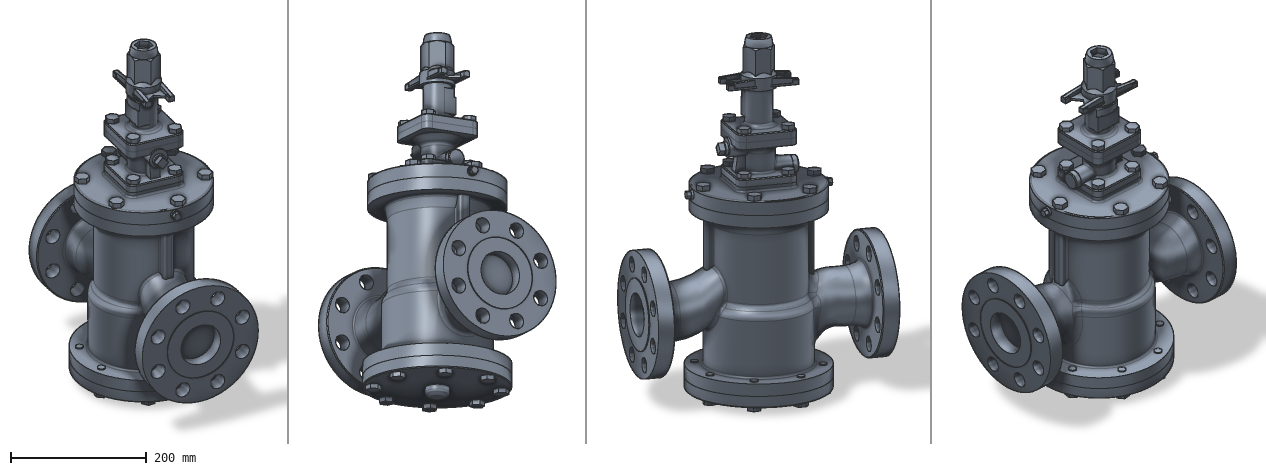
import cadquery as cq
import math


FACE_TO_FACE = 378.0
PIPE_FLANGE_D = 191.0
PIPE_FLANGE_THICK = 26.0
RAISED_FACE_D = 109.0
RAISED_FACE_HEIGHT = 1.6
BORE_D = 65.0
BORE_DEPTH = 21.0
BOLT_HOLE_D = 23.0
BOLT_CIRCLE_D = 150.0
BOLT_HOLE_COUNT = 8

NECK_ROOT_D = 101.5
NECK_D = 88.0
NECK_TAPER_LENGTH = 25.0
NECK_ROOT_FILLET = 3.0
INLET_CASING_FILLET = 12.0
OUTLET_CASING_FILLET = 5.0
INLET_SECTIONS = [
    (-121.0, 41.5, -44.3, 44.3),
    (-106.0, 38.5, -45.0, 44.5),
    (-86.0, 35.0, -62.0, 40.0),
    (-62.0, 34.0, -80.0, 30.0),
]
OUTLET_SECTIONS = [
    (112.0, 43.0, -40.0, 48.3),
    (88.0, 42.0, -29.0, 58.5),
    (70.0, 39.0, -17.0, 70.0),
    (50.0, 35.0, -6.0, 77.0),
]

UPPER_CASING_R = 74.0
LOWER_CASING_R = 82.5
SHOULDER_TOP_Z = 20.0
SHOULDER_MID_Z = 10.0
SHOULDER_BOTTOM_Z = -3.5
FLARE_BOTTOM_Z = 127.0
FLARE_TOP_Z = 143.0
FLARE_R = 77.0
CASING_FILLET = 3.0
RIB_REACH = 84.5
RIB_WIDTH = 18.0
RIB_ROUND = 5.0
RIB_ROOT_FILLET = 4.0

TOP_FLANGE_D = 206.0
TOP_FLANGE_BOTTOM_Z = 146.0
TOP_JOINT_Z = 165.0
TOP_COVER_Z = 186.6
EDGE_CHAMFER = 1.5

BOTTOM_FLANGE_D = 220.0
BOTTOM_FLANGE_TOP_Z = -91.5
BOTTOM_JOINT_Z = -110.5
BOTTOM_COVER_Z = -128.5
BOTTOM_BOLT_CIRCLE_R = 95.0
BOTTOM_BOLT_COUNT = 8
BOTTOM_BOLT_ANGLE = 22.5
BOLT_END_D = 12.0
BOLT_END_HEIGHT = 1.7
DRAIN_PLUG_D = 36.0
DRAIN_PLUG_HEIGHT = 15.0
DRAIN_PLUG_ROUND = 8.0

BODY_BOLT_CORNERS = 22.5
BODY_BOLT_HEIGHT = 8.0
BOTTOM_BOLT_HEIGHT = 7.0
PILOT_BOLT_CORNERS = 21.0
PILOT_BOLT_HEIGHT = 7.0

TOP_BOLT_CIRCLE_R = 91.0
TOP_BOLT_COUNT = 6
TOP_BOLT_ANGLE = 7.5
SIDE_SCREW_Z = 177.0
SIDE_SCREW_COLLAR_D = 14.0
SIDE_SCREW_COLLAR_X = 106.5
SIDE_SCREW_TIP_D = 12.0
SIDE_SCREW_TIP_X = 113.0
PAD_FILLET = 3.0
PILOT_JOINT_Z = 194.7

SQUARE = 93.0
SQUARE_CORNER_R = 12.0
SQUARE_BOLT_OFFSET = 34.3
PLATE_CONE_ANGLE = 45.0
PLATE_CHAMFER = 1.5
BASE_TOP_Z = 206.5
PLATE_BOTTOM_Z = 252.3
PLATE_SEAM_Z = 263.1
PLATE_TOP_Z = 275.3

PILOT_NECK_D = 49.12
PILOT_NECK_FILLET = 3.0
PILOT_NECK_TOP_Z = 236.4
PLATE_CONE_FILLET = 10.0
LEFT_PORT_Z = 209.7
LEFT_PORT_D = 28.4
LEFT_PORT_X = 49.0
LEFT_PORT_FILLET = 3.0
LEFT_CAP_D = 27.0
LEFT_CAP_X = 58.5
LEFT_CAP_CHAMFER = 1.5
RIGHT_PORT_Z = 244.5
RIGHT_PORT_D = 30.0
RIGHT_PORT_X = 49.7
RIGHT_PLUG_Z = 242.4
RIGHT_PLUG_D = 20.0
RIGHT_PLUG_COLLAR_X = 54.0
RIGHT_PLUG_CORNERS = 19.5
RIGHT_PLUG_X = 63.2
WEB_TOP_X = 34.0
WEB_BOTTOM_X = 39.0
WEB_WIDTH = 16.0

SPRING_TUBE_D = 42.0
SPRING_TUBE_FILLET_D = 55.07
HOUSING_WIDTH = 42.0
LOWER_BOX_DEPTH = 19.8
LOWER_BOX_BOTTOM_Z = 287.5
BAND_BOTTOM_Z = 314.0
BAND_TOP_Z = 326.5
BAND_SIDE_DEPTH = 17.0
BAND_DEPTH = 23.0

HANDLE_RING_D = 52.5
HANDLE_RING_BOTTOM_Z = 333.3
HANDLE_RING_TOP_Z = 353.0
HANDLE_LENGTH = 109.0
HANDLE_WIDTH = 47.5
HANDLE_BAR_WIDTH = 7.0
HANDLE_BAR_BOTTOM_Z = 337.7
HANDLE_TIP_TOP_Z = 346.6
HANDLE_CENTRE_TOP_Z = 351.5
HANDLE_BAR_STEP = 1.0
HANDLE_FOOT_HEIGHT = 3.0
HANDLE_TIP_CHAMFER = 1.5
HANDLE_TIP_LENGTH = 9.5
HANDLE_TIP_WIDTH = 9.5
HANDLE_WEB_BOTTOM_Z = 338.5
HANDLE_WEB_TOP_Z = 342.0
HANDLE_WEB_END_X = 44.5
HANDLE_WEB_NOTCH_X = 32.0
HEX_CORNERS = 49.12
HEX_COLLAR_TOP_Z = 360.0
HEX_TOP_Z = 397.5
HEX_CHAMFER_HEIGHT = 3.0
NOSE_R = 21.0
NOSE_ARC_R = 30.0
NOSE_TOP_R = 18.5
TOP_Z = 410.5
SOCKET_CORNERS = 27.0
SOCKET_DEPTH = 10.0


def cylinder_z(diameter, bottom, top):
    return cq.Workplane("XY", origin=(0, 0, bottom)).circle(diameter / 2).extrude(top - bottom)


def cylinder_x(diameter, start, end, z):
    return cq.Workplane("YZ", origin=(start, 0, z)).circle(diameter / 2).extrude(end - start)


def square_plate(bottom, top):
    plate = cq.Workplane("XY", origin=(0, 0, bottom)).rect(SQUARE, SQUARE).extrude(top - bottom)
    return plate.edges("|Z").fillet(SQUARE_CORNER_R)


def bolt_heads(circle_r, count, first_angle, corners, bottom, height):
    """Hexagon heads on a circle, each with a corner pointing away from the valve axis."""
    return (
        cq.Workplane("XY", origin=(0, 0, bottom))
        .polarArray(circle_r, first_angle, 360, count)
        .polygon(6, corners)
        .extrude(height)
    )


def make_casing():
    """Turned casing from the lower joint up to the top joint."""
    lower_flange_r = BOTTOM_FLANGE_D / 2
    upper_flange_r = TOP_FLANGE_D / 2
    upper_rise = SHOULDER_TOP_Z - SHOULDER_MID_Z
    lower_rise = SHOULDER_MID_Z - SHOULDER_BOTTOM_Z
    half_turn = math.atan((LOWER_CASING_R - UPPER_CASING_R) / (upper_rise + lower_rise))
    shoulder_mid_r = UPPER_CASING_R + upper_rise * math.tan(half_turn)
    upper_arc_r = upper_rise / math.sin(2 * half_turn)
    lower_arc_r = lower_rise / math.sin(2 * half_turn)
    return (
        cq.Workplane("XZ")
        .moveTo(0, BOTTOM_JOINT_Z)
        .lineTo(lower_flange_r, BOTTOM_JOINT_Z)
        .lineTo(lower_flange_r, BOTTOM_FLANGE_TOP_Z)
        .lineTo(LOWER_CASING_R + CASING_FILLET, BOTTOM_FLANGE_TOP_Z)
        .radiusArc((LOWER_CASING_R, BOTTOM_FLANGE_TOP_Z + CASING_FILLET), CASING_FILLET)
        .lineTo(LOWER_CASING_R, SHOULDER_BOTTOM_Z)
        .radiusArc((shoulder_mid_r, SHOULDER_MID_Z), -lower_arc_r)
        .radiusArc((UPPER_CASING_R, SHOULDER_TOP_Z), upper_arc_r)
        .lineTo(UPPER_CASING_R, FLARE_BOTTOM_Z)
        .lineTo(FLARE_R, FLARE_TOP_Z)
        .radiusArc((FLARE_R + CASING_FILLET, TOP_FLANGE_BOTTOM_Z), CASING_FILLET)
        .lineTo(upper_flange_r, TOP_FLANGE_BOTTOM_Z)
        .lineTo(upper_flange_r, TOP_JOINT_Z)
        .lineTo(0, TOP_JOINT_Z)
        .close()
        .revolve(360, (0, 0, 0), (0, 1, 0))
    )


def make_pipe_end():
    """Flange with its tapered neck on the -X side."""
    face_x = -FACE_TO_FACE / 2
    front_x = face_x + RAISED_FACE_HEIGHT
    back_x = front_x + PIPE_FLANGE_THICK
    raised_face = cylinder_x(RAISED_FACE_D, face_x, front_x, 0)
    flange = (
        cq.Workplane("YZ", origin=(front_x, 0, 0))
        .circle(PIPE_FLANGE_D / 2)
        .extrude(PIPE_FLANGE_THICK)
        .faces(">X")
        .edges()
        .chamfer(EDGE_CHAMFER)
        .faces("<X")
        .workplane()
        .polarArray(BOLT_CIRCLE_D / 2, 180 / BOLT_HOLE_COUNT, 360, BOLT_HOLE_COUNT)
        .hole(BOLT_HOLE_D)
    )
    neck_x = back_x + NECK_TAPER_LENGTH
    neck_r = NECK_D / 2
    root_r = NECK_ROOT_D / 2
    flare = root_r - neck_r
    flare_arc_r = (NECK_TAPER_LENGTH**2 + flare**2) / (2 * flare)
    taper = (
        cq.Workplane("XY")
        .moveTo(back_x, 0)
        .lineTo(back_x, root_r)
        .radiusArc((neck_x, neck_r), -flare_arc_r)
        .lineTo(neck_x, 0)
        .close()
        .revolve(360, (0, 0, 0), (1, 0, 0))
    )
    inside_holes = (BOLT_CIRCLE_D - BOLT_HOLE_D) / 2
    root = cq.selectors.BoxSelector(
        (back_x - EDGE_CHAMFER / 2, -inside_holes, -inside_holes),
        (back_x + EDGE_CHAMFER / 2, inside_holes, inside_holes),
        boundingbox=True,
    )
    bore = cylinder_x(BORE_D, face_x, face_x + BORE_DEPTH, 0)
    necked = flange.union(taper).edges(root).fillet(NECK_ROOT_FILLET)
    return necked.union(raised_face).cut(bore)


def make_passage(sections):
    """Smooth neck through upright ellipses given as (x, half width, bottom z, top z)."""
    wires = []
    for x, half_width, bottom, top in sections:
        ellipse = cq.Wire.makeEllipse(
            (top - bottom) / 2,
            half_width,
            cq.Vector(x, 0, (top + bottom) / 2),
            cq.Vector(1, 0, 0),
            cq.Vector(0, 0, 1),
        )
        wires.append(ellipse)
    return cq.Workplane(obj=cq.Solid.makeLoft(wires))


def round_junction(body, side, radius):
    """Fillets the curve where a pipe neck on one side runs into the casing."""
    region = cq.selectors.BoxSelector(
        (0, -NECK_D / 2, BOTTOM_FLANGE_TOP_Z),
        (side * LOWER_CASING_R, NECK_D / 2, FLARE_BOTTOM_Z),
    )
    return body.edges(region).edges("%BSPLINE").fillet(radius)


def make_rib(side):
    """Upright rib on the casing with rounded outer corners and root fillets."""
    half = RIB_WIDTH / 2
    inner_x = UPPER_CASING_R - 2 * RIB_ROUND
    root_x = math.sqrt(UPPER_CASING_R**2 - (half + RIB_ROOT_FILLET) ** 2)
    rib = (
        cq.Workplane("XY")
        .moveTo(inner_x, -half - RIB_ROOT_FILLET)
        .lineTo(root_x, -half - RIB_ROOT_FILLET)
        .radiusArc((root_x + RIB_ROOT_FILLET, -half), RIB_ROOT_FILLET)
        .lineTo(RIB_REACH - RIB_ROUND, -half)
        .radiusArc((RIB_REACH, -half + RIB_ROUND), -RIB_ROUND)
        .lineTo(RIB_REACH, half - RIB_ROUND)
        .radiusArc((RIB_REACH - RIB_ROUND, half), -RIB_ROUND)
        .lineTo(root_x + RIB_ROOT_FILLET, half)
        .radiusArc((root_x, half + RIB_ROOT_FILLET), RIB_ROOT_FILLET)
        .lineTo(inner_x, half + RIB_ROOT_FILLET)
        .close()
        .extrude(TOP_FLANGE_BOTTOM_Z)
    )
    return rib if side > 0 else rib.mirror("YZ")


def make_main_body():
    neck_x = FACE_TO_FACE / 2 - RAISED_FACE_HEIGHT - PIPE_FLANGE_THICK - NECK_TAPER_LENGTH
    neck_r = NECK_D / 2
    inlet = make_passage([(-neck_x, neck_r, -neck_r, neck_r)] + INLET_SECTIONS)
    outlet = make_passage([(neck_x, neck_r, -neck_r, neck_r)] + OUTLET_SECTIONS)
    bolt_ends = (
        cq.Workplane("XY", origin=(0, 0, BOTTOM_FLANGE_TOP_Z))
        .polarArray(BOTTOM_BOLT_CIRCLE_R, BOTTOM_BOLT_ANGLE, 360, BOTTOM_BOLT_COUNT)
        .circle(BOLT_END_D / 2)
        .extrude(BOLT_END_HEIGHT)
    )
    pipe_end = make_pipe_end()
    body = make_casing().union(inlet).union(outlet)
    body = round_junction(body, -1, INLET_CASING_FILLET)
    body = round_junction(body, 1, OUTLET_CASING_FILLET)
    for side in (-1, 1):
        body = body.union(make_rib(side))
    return body.union(pipe_end).union(pipe_end.mirror("YZ")).union(bolt_ends)


def make_bottom_cover():
    plate = cylinder_z(BOTTOM_FLANGE_D, BOTTOM_COVER_Z, BOTTOM_JOINT_Z)
    plate = plate.faces("<Z").edges().chamfer(EDGE_CHAMFER)
    heads = bolt_heads(
        BOTTOM_BOLT_CIRCLE_R,
        BOTTOM_BOLT_COUNT,
        BOTTOM_BOLT_ANGLE,
        BODY_BOLT_CORNERS,
        BOTTOM_COVER_Z - BOTTOM_BOLT_HEIGHT,
        BOTTOM_BOLT_HEIGHT,
    )
    plug = cylinder_z(DRAIN_PLUG_D, BOTTOM_COVER_Z - DRAIN_PLUG_HEIGHT, BOTTOM_COVER_Z)
    plug = plug.faces("<Z").edges().fillet(DRAIN_PLUG_ROUND)
    return plate.union(heads).union(plug)


def make_side_screw(side):
    """Collared hexagon screw in the rim of the top cover."""
    rim_x = side * (TOP_FLANGE_D / 2 - 2 * EDGE_CHAMFER)
    collar = cylinder_x(SIDE_SCREW_COLLAR_D, rim_x, side * SIDE_SCREW_COLLAR_X, SIDE_SCREW_Z)
    tip = (
        cq.Workplane("YZ", origin=(rim_x, 0, SIDE_SCREW_Z))
        .polygon(6, SIDE_SCREW_TIP_D)
        .extrude(side * SIDE_SCREW_TIP_X - rim_x)
    )
    return collar.union(tip)


def make_top_cover():
    disc = cylinder_z(TOP_FLANGE_D, TOP_JOINT_Z, TOP_COVER_Z)
    disc = disc.faces(">Z").edges().chamfer(EDGE_CHAMFER)
    pad_root = cq.selectors.BoxSelector(
        (-SQUARE, -SQUARE, TOP_COVER_Z - EDGE_CHAMFER / 2),
        (SQUARE, SQUARE, TOP_COVER_Z + EDGE_CHAMFER / 2),
    )
    rim = cq.selectors.RadiusNthSelector(-1)
    cover = disc.union(square_plate(TOP_COVER_Z, PILOT_JOINT_Z))
    cover = cover.edges(pad_root - rim).fillet(PAD_FILLET)
    cover = cover.union(
        bolt_heads(
            TOP_BOLT_CIRCLE_R,
            TOP_BOLT_COUNT,
            TOP_BOLT_ANGLE,
            BODY_BOLT_CORNERS,
            TOP_COVER_Z,
            BODY_BOLT_HEIGHT,
        )
    )
    for side in (-1, 1):
        cover = cover.union(make_side_screw(side))
    return cover


def pilot_bolt_heads(bottom):
    circle_r = SQUARE_BOLT_OFFSET * math.sqrt(2)
    return bolt_heads(circle_r, 4, 45, PILOT_BOLT_CORNERS, bottom, PILOT_BOLT_HEIGHT)


def make_pilot_body():
    """Square base, neck with its left port and the lower half of the square plate."""
    base = square_plate(PILOT_JOINT_Z, BASE_TOP_Z).faces(">Z").edges().chamfer(PLATE_CHAMFER)
    plate = square_plate(PLATE_BOTTOM_Z, PLATE_SEAM_Z)
    neck_r = PILOT_NECK_D / 2
    slope = math.radians(PLATE_CONE_ANGLE)
    cone_start_r = neck_r + PLATE_CONE_FILLET * (1 - math.cos(slope))
    cone_start_z = PILOT_NECK_TOP_Z + PLATE_CONE_FILLET * math.sin(slope)
    cone_top_r = cone_start_r + (PLATE_BOTTOM_Z - cone_start_z) / math.tan(slope)
    neck = (
        cq.Workplane("XZ")
        .moveTo(0, BASE_TOP_Z)
        .lineTo(neck_r + PILOT_NECK_FILLET, BASE_TOP_Z)
        .radiusArc((neck_r, BASE_TOP_Z + PILOT_NECK_FILLET), PILOT_NECK_FILLET)
        .lineTo(neck_r, PILOT_NECK_TOP_Z)
        .radiusArc((cone_start_r, cone_start_z), PLATE_CONE_FILLET)
        .lineTo(cone_top_r, PLATE_BOTTOM_Z)
        .lineTo(0, PLATE_BOTTOM_Z)
        .close()
        .revolve(360, (0, 0, 0), (0, 1, 0))
    )
    body = base.union(neck).union(make_left_port()).union(plate)
    return body.union(pilot_bolt_heads(BASE_TOP_Z))


def make_left_port():
    """Capped port filleted into a core that fills the pilot neck, kept above the cover joint."""
    core = cylinder_z(PILOT_NECK_D, PILOT_JOINT_Z - LEFT_PORT_D, PILOT_NECK_TOP_Z)
    port = cylinder_x(LEFT_PORT_D, 0, -LEFT_PORT_X, LEFT_PORT_Z)
    rooted = core.union(port).edges("%BSPLINE").fillet(LEFT_PORT_FILLET)
    cap = cylinder_x(LEFT_CAP_D, -LEFT_PORT_X, -LEFT_CAP_X, LEFT_PORT_Z)
    cap = cap.faces("<X").edges().chamfer(LEFT_CAP_CHAMFER)
    return rooted.union(cap).intersect(cylinder_z(2 * SQUARE, PILOT_JOINT_Z, PLATE_BOTTOM_Z))


def make_right_port():
    """Port with a square-headed plug, carried by a web standing on the base."""
    port = cylinder_x(RIGHT_PORT_D, 0, RIGHT_PORT_X, RIGHT_PORT_Z)
    collar = cylinder_x(RIGHT_PLUG_D, 0, RIGHT_PLUG_COLLAR_X, RIGHT_PLUG_Z)
    head = (
        cq.Workplane("YZ", origin=(0, 0, RIGHT_PLUG_Z))
        .polygon(4, RIGHT_PLUG_CORNERS)
        .extrude(RIGHT_PLUG_X)
    )
    web = (
        cq.Workplane("XZ", origin=(0, WEB_WIDTH / 2, 0))
        .moveTo(0, BASE_TOP_Z)
        .lineTo(WEB_BOTTOM_X, BASE_TOP_Z)
        .lineTo(WEB_TOP_X, RIGHT_PORT_Z)
        .lineTo(0, RIGHT_PORT_Z)
        .close()
        .extrude(WEB_WIDTH)
    )
    return port.union(collar).union(head).union(web)


def make_spring_housing():
    """Upper half of the square plate and a tube with a block and a band on its -Y half."""
    plate = square_plate(PLATE_SEAM_Z, PLATE_TOP_Z).faces(">Z").edges().chamfer(PLATE_CHAMFER)
    tube_r = SPRING_TUBE_D / 2
    fillet_r = SPRING_TUBE_FILLET_D / 2 - tube_r
    tube = (
        cq.Workplane("XZ")
        .moveTo(0, PLATE_TOP_Z)
        .lineTo(tube_r + fillet_r, PLATE_TOP_Z)
        .radiusArc((tube_r, PLATE_TOP_Z + fillet_r), fillet_r)
        .lineTo(tube_r, HANDLE_RING_BOTTOM_Z)
        .lineTo(0, HANDLE_RING_BOTTOM_Z)
        .close()
        .revolve(360, (0, 0, 0), (0, 1, 0))
    )
    block = (
        cq.Workplane("XY", origin=(0, -LOWER_BOX_DEPTH / 2, LOWER_BOX_BOTTOM_Z))
        .rect(HOUSING_WIDTH, LOWER_BOX_DEPTH)
        .extrude(BAND_BOTTOM_Z - LOWER_BOX_BOTTOM_Z)
    )
    clearance = (
        cq.Workplane("XY", origin=(0, -LOWER_BOX_DEPTH - tube_r / 2, LOWER_BOX_BOTTOM_Z))
        .rect(HOUSING_WIDTH, tube_r)
        .extrude(BAND_BOTTOM_Z - LOWER_BOX_BOTTOM_Z)
    )
    half = HOUSING_WIDTH / 2
    band = (
        cq.Workplane("XY", origin=(0, 0, BAND_BOTTOM_Z))
        .moveTo(half, 0)
        .lineTo(half, -BAND_SIDE_DEPTH)
        .threePointArc((0, -BAND_DEPTH), (-half, -BAND_SIDE_DEPTH))
        .lineTo(-half, 0)
        .close()
        .extrude(BAND_TOP_Z - BAND_BOTTOM_Z)
    )
    tube = tube.cut(clearance).union(block).union(band)
    return plate.union(tube).union(pilot_bolt_heads(PLATE_TOP_Z))


def make_handle():
    """Ring with two sloping bars, tip lugs and a notched web between the bars."""
    ring = cylinder_z(HANDLE_RING_D, HANDLE_RING_BOTTOM_Z, HANDLE_RING_TOP_Z)
    half_length = HANDLE_LENGTH / 2
    half_width = HANDLE_WIDTH / 2
    web_half_width = half_width - HANDLE_BAR_WIDTH
    bar = (
        cq.Workplane("XZ", origin=(0, half_width - HANDLE_BAR_STEP, 0))
        .moveTo(-half_length, HANDLE_BAR_BOTTOM_Z)
        .lineTo(half_length, HANDLE_BAR_BOTTOM_Z)
        .lineTo(half_length, HANDLE_TIP_TOP_Z)
        .lineTo(0, HANDLE_CENTRE_TOP_Z)
        .lineTo(-half_length, HANDLE_TIP_TOP_Z)
        .close()
        .extrude(HANDLE_BAR_WIDTH - HANDLE_BAR_STEP)
    )
    bar_foot = (
        cq.Workplane("XY", origin=(0, half_width - HANDLE_BAR_WIDTH / 2, HANDLE_BAR_BOTTOM_Z))
        .rect(HANDLE_LENGTH, HANDLE_BAR_WIDTH)
        .extrude(HANDLE_FOOT_HEIGHT)
    )
    bar = bar.union(bar_foot)
    tips = (
        cq.Workplane("XY", origin=(0, 0, HANDLE_BAR_BOTTOM_Z))
        .rarray(HANDLE_LENGTH - HANDLE_TIP_LENGTH, HANDLE_WIDTH - HANDLE_TIP_WIDTH, 2, 2)
        .rect(HANDLE_TIP_LENGTH, HANDLE_TIP_WIDTH)
        .extrude(HANDLE_TIP_TOP_Z - HANDLE_BAR_BOTTOM_Z)
        .faces(">Z")
        .edges()
        .chamfer(HANDLE_TIP_CHAMFER)
    )
    web = (
        cq.Workplane("XY", origin=(0, 0, HANDLE_WEB_BOTTOM_Z))
        .moveTo(-HANDLE_WEB_END_X, -web_half_width)
        .lineTo(HANDLE_WEB_END_X, -web_half_width)
        .lineTo(HANDLE_WEB_NOTCH_X, 0)
        .lineTo(HANDLE_WEB_END_X, web_half_width)
        .lineTo(-HANDLE_WEB_END_X, web_half_width)
        .lineTo(-HANDLE_WEB_NOTCH_X, 0)
        .close()
        .extrude(HANDLE_WEB_TOP_Z - HANDLE_WEB_BOTTOM_Z)
    )
    return ring.union(bar).union(bar.mirror("XZ")).union(tips).union(web)


def make_cap_nut():
    """Hexagon cap nut with a conical foot, a tapered nose and a hexagon socket."""
    hexagon = (
        cq.Workplane("XY", origin=(0, 0, HANDLE_RING_TOP_Z))
        .polygon(6, HEX_CORNERS)
        .extrude(HEX_TOP_Z - HANDLE_RING_TOP_Z)
    )
    corner_r = HEX_CORNERS / 2
    trim = (
        cq.Workplane("XZ")
        .moveTo(0, HANDLE_RING_TOP_Z)
        .lineTo(corner_r, HANDLE_RING_TOP_Z)
        .lineTo(corner_r, HEX_TOP_Z - HEX_CHAMFER_HEIGHT)
        .lineTo(NOSE_R, HEX_TOP_Z)
        .lineTo(0, HEX_TOP_Z)
        .close()
        .revolve(360, (0, 0, 0), (0, 1, 0))
    )
    foot = (
        cq.Workplane("XY", origin=(0, 0, HANDLE_RING_TOP_Z))
        .circle(HANDLE_RING_D / 2)
        .workplane(offset=HEX_COLLAR_TOP_Z - HANDLE_RING_TOP_Z)
        .circle(NOSE_R)
        .loft()
    )
    nose = (
        cq.Workplane("XZ")
        .moveTo(0, HEX_TOP_Z)
        .lineTo(NOSE_R, HEX_TOP_Z)
        .radiusArc((NOSE_TOP_R, TOP_Z), -NOSE_ARC_R)
        .lineTo(0, TOP_Z)
        .close()
        .revolve(360, (0, 0, 0), (0, 1, 0))
    )
    socket = (
        cq.Workplane("XY", origin=(0, 0, TOP_Z))
        .polygon(6, SOCKET_CORNERS)
        .extrude(-SOCKET_DEPTH)
    )
    return hexagon.intersect(trim).union(foot).union(nose).cut(socket)


def make_pilot_valve():
    """Pilot body and spring housing as one solid that keeps the seam line of the square plate."""
    lower = make_pilot_body().union(make_right_port())
    upper = make_spring_housing().union(make_handle()).union(make_cap_nut())
    return lower.union(upper, clean=False)


main_body = make_main_body()
bottom_cover = make_bottom_cover()
top_cover = make_top_cover()
pilot_valve = make_pilot_valve()

result = cq.Compound.makeCompound(
    [main_body.val(), bottom_cover.val(), top_cover.val(), pilot_valve.val()]
)